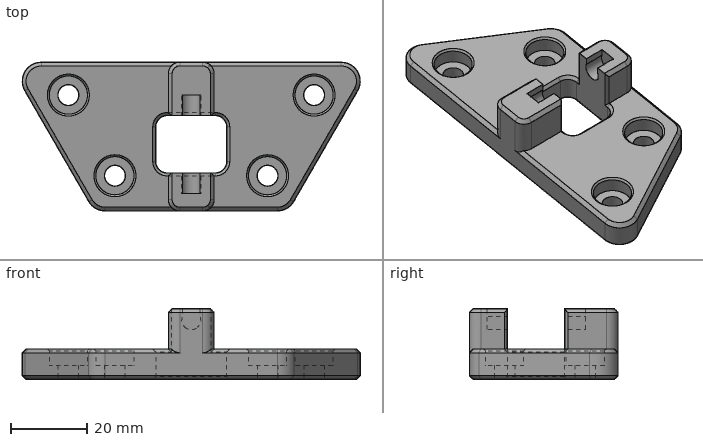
import cadquery as cq
import math

plate_width = 88.58
plate_depth = 39.0
plate_thickness = 8.0
corner_radius = 5.0
side_angle = math.radians(60)
plate_top_chamfer = 1.0
plate_bottom_chamfer = 1.0
chamfer_angle = 45

hole_diameter = 5.4
counterbore_diameter = 10.0
counterbore_depth = 4.35
counterbore_chamfer = 0.5
front_hole_x = 20.0
front_hole_y = 9.25
hole_pitch = 24.4

window_width = 18.6
window_front = 10.0
window_back = 25.0
window_radius = 3.0
window_chamfer = 0.8

post_width = 12.0
post_top = 18.55
post_bottom = plate_thickness / 2
post_radius = 3.0
post_top_chamfer = 1.0
post_inner_chamfer = 0.8

seat_diameter = 5.0
slot_width = 4.6
slot_length = 5.4
seat_depth = 3.0


def make_plate():
    """Trapezoidal plate with rounded corners and chamfered rims."""
    sharp_back_x = plate_width / 2 - corner_radius + corner_radius / math.tan(side_angle / 2)
    sharp_front_x = sharp_back_x - plate_depth / math.tan(side_angle)
    outline = [
        (-sharp_front_x, 0),
        (sharp_front_x, 0),
        (sharp_back_x, plate_depth),
        (-sharp_back_x, plate_depth),
    ]
    plate = cq.Workplane("XY").polyline(outline).close().extrude(plate_thickness)
    plate = plate.edges("|Z").fillet(corner_radius)
    plate = plate.faces(">Z").chamfer(plate_top_chamfer)
    return plate.faces("<Z").chamfer(plate_bottom_chamfer)


def cut_screw_holes(plate):
    """Counterbored holes, paired along lines parallel to the sloping sides."""
    back_hole_x = front_hole_x + hole_pitch * math.cos(side_angle)
    back_hole_y = front_hole_y + hole_pitch * math.sin(side_angle)
    centers = []
    for side in (-1, 1):
        centers.append((side * front_hole_x, front_hole_y))
        centers.append((side * back_hole_x, back_hole_y))
    through = (
        cq.Workplane("XY")
        .pushPoints(centers)
        .circle(hole_diameter / 2)
        .extrude(plate_thickness)
    )
    counterbores = (
        cq.Workplane("XY", origin=(0, 0, plate_thickness - counterbore_depth))
        .pushPoints(centers)
        .circle(counterbore_diameter / 2)
        .extrude(counterbore_depth)
    )
    rim_radius = counterbore_diameter / 2 + counterbore_chamfer
    rim_chamfers = (
        cq.Workplane("XY", origin=(0, 0, plate_thickness))
        .pushPoints(centers)
        .circle(rim_radius)
        .extrude(-counterbore_chamfer, taper=chamfer_angle)
    )
    return plate.cut(through).cut(counterbores).cut(rim_chamfers)


def cut_window(plate):
    """Rounded rectangular window with chamfered upper and lower rims."""
    window_depth = window_back - window_front
    window_center_y = (window_front + window_back) / 2
    window = (
        cq.Workplane("XY", origin=(0, window_center_y, 0))
        .rect(window_width, window_depth)
        .extrude(plate_thickness)
        .edges("|Z")
        .fillet(window_radius)
    )
    plate = plate.cut(window)
    for rim_side, inward in ((">Z", -1), ("<Z", 1)):
        rim = window.faces(rim_side).wires().toPending().offset2D(window_chamfer)
        rim = rim.extrude(inward * window_chamfer, combine=False, taper=chamfer_angle)
        plate = plate.cut(rim)
    return plate


def make_post(outer_y, inner_y):
    """Slotted post from the plate's edge to the window's edge."""
    length = abs(inner_y - outer_y)
    inward = 1 if inner_y > outer_y else -1
    outer_side = "<Y" if inward > 0 else ">Y"
    inner_side = ">Y" if inward > 0 else "<Y"
    post = (
        cq.Workplane("XY", origin=(0, (outer_y + inner_y) / 2, post_bottom))
        .rect(post_width, length)
        .extrude(post_top - post_bottom)
    )
    post = post.edges("|Z").edges(outer_side).fillet(post_radius)
    post = post.faces(">Z").edges("not " + inner_side).chamfer(post_top_chamfer)
    post = post.faces(inner_side).edges("|Z").chamfer(post_inner_chamfer)

    seat_axis_z = post_top - seat_depth
    slot_center_y = inner_y - inward * slot_length / 2
    slot_start_y = max(inner_y, inner_y - inward * slot_length)
    seat = (
        cq.Workplane("XZ", origin=(0, slot_start_y, seat_axis_z))
        .circle(seat_diameter / 2)
        .extrude(slot_length)
    )
    slot_opening = (
        cq.Workplane("XY", origin=(0, slot_center_y, seat_axis_z))
        .rect(slot_width, slot_length)
        .extrude(post_top - seat_axis_z)
    )
    return post.cut(seat).cut(slot_opening)


plate = cut_window(cut_screw_holes(make_plate()))
front_post = make_post(0, window_front)
back_post = make_post(plate_depth, window_back)
result = plate.union(front_post).union(back_post)